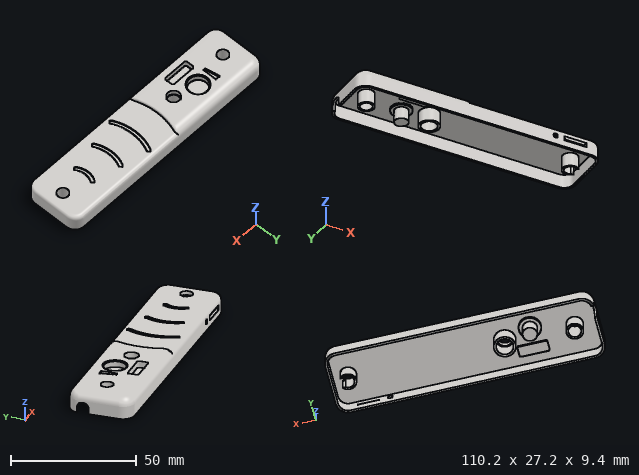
import cadquery as cq
import math

LENGTH = 110.2
WIDTH = 27.2
HEIGHT = 9.4
LOW_HEIGHT = 7.8
CORNER_RADIUS = 5.1
TOP_ROUND = 4.0
LOW_ROUND = 2.0
WALL = 1.0
CEILING_Z = 6.1
FLOOR_Z = 6.5

STEP_X = -6.8
STEP_ARC_RADIUS = 30.9
STEP_ROUND = 1.0
STEP_OVERLAP = 5.5

GROOVES = [(6.6, 23.0, 10.2), (20.4, 16.2, 7.4), (34.2, 8.3, 4.5)]
GROOVE_WIDTH = 1.7
GROOVE_DEPTH = 0.5

SCREW_DIAMETER = 5.2
SCREW_XS = (-45.0, 47.9)
SCREW_BOSS_DIAMETER = 6.8
BOSS_SLOT_WIDTH = 4.2
EYE_X = -16.3
EYE_DIAMETER = 6.0
EYE_BORE_DIAMETER = 6.8

BUTTON_X = -27.3
BUTTON_Y = 3.0
BUTTON_OPENING = 9.1
BUTTON_CHAMFER = 0.4
BUTTON_DIAMETER = 9.0
BUTTON_THICKNESS = 1.1
STEM_DIAMETER = 6.0

SLIDER_X = -26.5
SLIDER_Y = -6.4
SLIDER_LENGTH = 12.3
SLIDER_WIDTH = 4.6
SLIDER_CORNER = 0.8
SLIDER_THICKNESS = 1.1

WEDGE_LEFT = -36.4
WEDGE_RIGHT = -34.0
WEDGE_TIP_WIDTH = 1.1
WEDGE_TOP = 6.4
WEDGE_BOTTOM = -0.4
WEDGE_DEPTH = 1.0

PINHOLE_X = 33.7
PINHOLE_Z = 4.0
PINHOLE_DIAMETER = 2.0
POCKET_X = 42.8
POCKET_LENGTH = 10.4
POCKET_HEIGHT = 2.0
POCKET_DEPTH = 0.8
POCKET_TAPER = 0.9

NOTCH_Y = 6.6
NOTCH_WIDTH = 5.0
NOTCH_HEIGHT = 4.6

SIDE_Y = -WIDTH / 2
END_X = -LENGTH / 2


def rounded_block(length, width, corner, bottom, top):
    """Upright block centred on the Z axis with rounded vertical corners."""
    block = cq.Workplane("XY").workplane(offset=bottom).rect(length, width).extrude(top - bottom)
    return block.edges("|Z").fillet(corner)


def upright_cylinder(x, y, diameter, bottom, top):
    plane = cq.Workplane("XY").workplane(offset=bottom)
    return plane.center(x, y).circle(diameter / 2).extrude(top - bottom)


def raised_part():
    """Full-height block with its top rounded at the -X end and the sides, overrunning the +X end."""
    overrun = 2 * CORNER_RADIUS
    block = rounded_block(LENGTH + overrun, WIDTH, CORNER_RADIUS, 0, HEIGHT)
    block = block.faces(">Z").edges().fillet(TOP_ROUND)
    return block.translate((overrun / 2, 0, 0))


def raised_end():
    """Part of the raised block on the -X side of the step arc, with the step's edge rounded."""
    step_plug = upright_cylinder(STEP_X + STEP_ARC_RADIUS, 0, 2 * STEP_ARC_RADIUS, 0, HEIGHT)
    beyond_step = cq.Workplane("XY").box(LENGTH, 2 * WIDTH, 2 * HEIGHT, centered=(False, True, False))
    block = raised_part().cut(step_plug).cut(beyond_step)
    return block.faces(">Z").edges(">X").fillet(STEP_ROUND)


def grip_end():
    """Lower block with a rounded rim, reaching a little way into the raised end."""
    block = rounded_block(LENGTH, WIDTH, CORNER_RADIUS, 0, LOW_HEIGHT)
    block = block.faces(">Z").edges().fillet(LOW_ROUND).intersect(raised_part())
    before_step = cq.Workplane("XY").box(LENGTH, 2 * WIDTH, 2 * HEIGHT)
    return block.cut(before_step.translate((STEP_X - STEP_OVERLAP - LENGTH / 2, 0, 0)))


def outer_body():
    """Closed outer shape of the housing."""
    return raised_end().union(grip_end()).clean()


def cavity():
    """Hollow below the ceiling, open at the bottom."""
    return rounded_block(LENGTH - 2 * WALL, WIDTH - 2 * WALL, CORNER_RADIUS - WALL, 0, CEILING_Z)


def groove(middle_x, radius, half_chord):
    """Round-ended groove following an arc whose middle points to -X."""
    axis_x = middle_x + radius
    half_angle = math.asin(half_chord / radius)
    half_width = GROOVE_WIDTH / 2

    def arc_point(distance, angle):
        return (axis_x - distance * math.cos(angle), distance * math.sin(angle))

    inner = radius - half_width
    outer = radius + half_width
    end_bulge = half_width / radius
    return (
        cq.Workplane("XY").workplane(offset=LOW_HEIGHT - GROOVE_DEPTH)
        .moveTo(*arc_point(outer, -half_angle))
        .threePointArc(arc_point(outer, 0), arc_point(outer, half_angle))
        .threePointArc(arc_point(radius, half_angle + end_bulge), arc_point(inner, half_angle))
        .threePointArc(arc_point(inner, 0), arc_point(inner, -half_angle))
        .threePointArc(arc_point(radius, -half_angle - end_bulge), arc_point(outer, -half_angle))
        .close()
        .extrude(2 * GROOVE_DEPTH)
    )


def button_opening():
    """Round opening through the top wall with a chamfered rim."""
    opening = upright_cylinder(BUTTON_X, BUTTON_Y, BUTTON_OPENING, CEILING_Z, HEIGHT)
    radius = BUTTON_OPENING / 2
    rim = cq.Solid.makeCone(
        radius, radius + BUTTON_CHAMFER, BUTTON_CHAMFER,
        pnt=cq.Vector(BUTTON_X, BUTTON_Y, HEIGHT - BUTTON_CHAMFER),
    )
    return opening.union(cq.Workplane(rim))


def slider_block(bottom, top):
    block = rounded_block(SLIDER_LENGTH, SLIDER_WIDTH, SLIDER_CORNER, bottom, top)
    return block.translate((SLIDER_X, SLIDER_Y, 0))


def wedge_mark():
    return (
        cq.Workplane("XY").workplane(offset=HEIGHT - WEDGE_DEPTH)
        .moveTo(WEDGE_LEFT, WEDGE_TOP)
        .lineTo(WEDGE_RIGHT, WEDGE_TOP)
        .lineTo(WEDGE_RIGHT, WEDGE_BOTTOM)
        .lineTo(WEDGE_RIGHT - WEDGE_TIP_WIDTH, WEDGE_BOTTOM)
        .close()
        .extrude(2 * WEDGE_DEPTH)
    )


def side_pinhole():
    plane = cq.Workplane("XZ", origin=(PINHOLE_X, SIDE_Y, PINHOLE_Z))
    return plane.circle(PINHOLE_DIAMETER / 2).extrude(-WALL)


def side_pocket():
    """Shallow pocket whose four sides slope in to a narrow floor."""
    mouth = cq.Workplane("XZ", origin=(POCKET_X, SIDE_Y, PINHOLE_Z)).rect(POCKET_LENGTH, POCKET_HEIGHT)
    floor = mouth.workplane(offset=-POCKET_DEPTH).rect(
        POCKET_LENGTH - 2 * POCKET_TAPER, POCKET_HEIGHT - 2 * POCKET_TAPER
    )
    return floor.loft()


def cable_notch():
    """Round-topped notch through the -X end wall, open at the bottom."""
    radius = NOTCH_WIDTH / 2
    shoulder_z = NOTCH_HEIGHT - radius
    return (
        cq.Workplane("YZ", origin=(END_X, NOTCH_Y, 0))
        .moveTo(-radius, 0)
        .lineTo(-radius, shoulder_z)
        .threePointArc((0, NOTCH_HEIGHT), (radius, shoulder_z))
        .lineTo(radius, 0)
        .close()
        .extrude(CORNER_RADIUS)
    )


def add_eye_hole(body):
    """Stepped hole in a boss that hangs from the ceiling."""
    boss_diameter = EYE_BORE_DIAMETER + 2 * WALL
    body = body.union(upright_cylinder(EYE_X, 0, boss_diameter, 0, CEILING_Z))
    body = body.cut(upright_cylinder(EYE_X, 0, EYE_DIAMETER, 0, HEIGHT))
    return body.cut(upright_cylinder(EYE_X, 0, EYE_BORE_DIAMETER, 0, FLOOR_Z))


def add_screw_hole(body, x):
    """Plain hole in a boss that hangs from the ceiling."""
    body = body.union(upright_cylinder(x, 0, SCREW_BOSS_DIAMETER, 0, CEILING_Z))
    return body.cut(upright_cylinder(x, 0, SCREW_DIAMETER, 0, HEIGHT))


def boss_slot():
    """Slot through the +X side of the screw boss at the grip end."""
    slot = cq.Workplane("XY").box(
        SCREW_BOSS_DIAMETER / 2, BOSS_SLOT_WIDTH, CEILING_Z, centered=(False, True, False)
    )
    return slot.translate((SCREW_XS[1], 0, 0))


def make_housing():
    body = add_eye_hole(outer_body().cut(cavity()))
    for screw_x in SCREW_XS:
        body = add_screw_hole(body, screw_x)
    body = body.cut(boss_slot())
    for middle_x, radius, half_chord in GROOVES:
        body = body.cut(groove(middle_x, radius, half_chord))
    body = body.cut(button_opening()).cut(slider_block(CEILING_Z, HEIGHT)).cut(wedge_mark())
    return body.cut(side_pinhole()).cut(side_pocket()).cut(cable_notch())


def make_button():
    """Disc in the round opening on a stem that reaches the bottom of the housing."""
    disc = upright_cylinder(BUTTON_X, BUTTON_Y, BUTTON_DIAMETER, FLOOR_Z - BUTTON_THICKNESS, FLOOR_Z)
    stem = upright_cylinder(BUTTON_X, BUTTON_Y, STEM_DIAMETER, 0, FLOOR_Z - BUTTON_THICKNESS)
    return disc.union(stem)


def make_slider():
    """Block that fills the lower part of the slider opening."""
    return slider_block(FLOOR_Z - SLIDER_THICKNESS, FLOOR_Z)


housing = make_housing()
button = make_button()
slider = make_slider()
result = cq.Compound.makeCompound(
    [*housing.solids().vals(), *button.solids().vals(), *slider.solids().vals()]
)